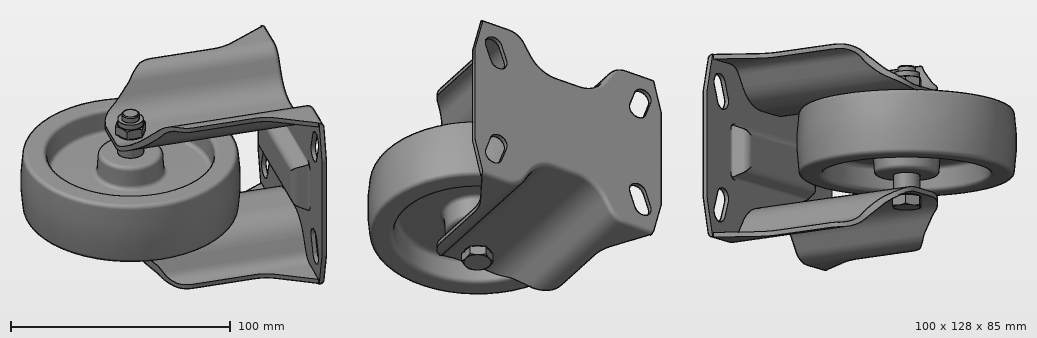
import cadquery as cq
import math


sheet = 2.2
plate_width = 100.0
plate_height = 85.0
plate_side_height = 50.2
plate_end_width = 91.1
back_edge_radius = 2.0

leg_dip = 17.7
leg_slope = math.radians(58)
leg_flat_half = 6.1
trough_radius = 15.6
shoulder_radius = 10.0

leg_half_width = 32.4
leg_length = 87.2
flare_angle = math.radians(30)
flare_corner = 23.8
flare_radius = 20.0
tip_corner = 62.2
tip_bend_half = 23.2
tip_first_slope = math.radians(45)
tip_second_slope = math.radians(60)
tip_radius = 10.0

slot_width = 9
slot_outer = (40.0, 30.0)
slot_inner = (37.4, 22.8)

rib_length = 62.2
rib_height = 26.1
rib_crest = 9.5
rib_draft = math.radians(22)
rib_crest_radius = 3.7
rib_foot_radius = 1.2
rib_corner_radius = 3.2

wheel_diameter = 100.0
wheel_width = 30.0
crown_radius = 92.2
crown_slope = math.radians(8.2)
wheel_fillet = 2.0
recess_face_radius = 38.4
recess_web_radius = 37.4
hub_face_radius = 14.6
hub_web_radius = 15.4
web_half_at_rim = 3.5
web_half_at_hub = 4.0

total_length = 128
spacer_diameter = 12.0
bolt_diameter = 8.0
bolt_end = 35.3
bolt_chamfer = 0.5
collar_diameter = 11.6
collar_end = 32.4
hex_across_flats = 12.4
hex_end = 30.0
hex_chamfer = 0.5
washer_face = 0.4

wheel_radius = wheel_diameter / 2
axle_y = wheel_radius - total_length
leg_outer_z = plate_height / 2 - leg_dip
leg_inner_z = leg_outer_z - sheet


def rounded_outline(plane, corners):
    """Closed outline through corners (u, v, radius), each rounded by a tangent arc of its radius."""
    outline = None
    for index, (u, v, radius) in enumerate(corners):
        here = cq.Vector(u, v)
        back = (cq.Vector(*corners[index - 1][:2]) - here).normalized()
        ahead = (cq.Vector(*corners[(index + 1) % len(corners)][:2]) - here).normalized()
        half_angle = back.getAngle(ahead) / 2
        setback = radius / math.tan(half_angle)
        start = (here + back * setback).toTuple()[:2]
        outline = outline.lineTo(*start) if outline else plane.moveTo(*start)
        if radius:
            bisector = (back + ahead).normalized()
            middle = here + bisector * (radius / math.sin(half_angle) - radius)
            end = here + ahead * setback
            outline = outline.threePointArc(middle.toTuple()[:2], end.toTuple()[:2])
    return outline.close()


def mirrored(corners):
    """Corners of one half, followed by their mirror images in the v axis."""
    return corners + [(-u, v, radius) for u, v, radius in reversed(corners)]


def trough_block(inset):
    """Block with a trough along Y in its top and bottom, lying `inset` inside the bracket's outer faces."""
    inner_radius = trough_radius + inset
    bottom_x = leg_flat_half + inner_radius * math.tan(leg_slope / 2)
    rim_x = bottom_x + leg_dip / math.tan(leg_slope)
    bottom_z = leg_outer_z - inset
    rim_z = plate_height / 2 - inset
    upper = [
        (bottom_x, bottom_z, inner_radius),
        (rim_x, rim_z, shoulder_radius - inset),
        (plate_width, rim_z, 0),
    ]
    lower = [(x, -z, radius) for x, z, radius in reversed(upper)]
    plane = cq.Workplane("XZ", origin=(0, -inset, 0))
    return rounded_outline(plane, mirrored(upper + lower)).extrude(leg_length)


def bracket_plan():
    """Outline of plate and legs seen along Z, extruded through the full height."""
    flare_half = leg_half_width + (flare_corner - sheet) * math.tan(flare_angle)
    first_drop = (leg_half_width - tip_bend_half) * math.tan(tip_first_slope)
    tip_bend = tip_corner + first_drop
    tip_half = tip_bend_half - (leg_length - tip_bend) / math.tan(tip_second_slope)
    corners = [
        (plate_width / 2, 0, 0),
        (plate_width / 2, -sheet, 0),
        (flare_half, -sheet, 0),
        (leg_half_width, -flare_corner, flare_radius),
        (leg_half_width, -tip_corner, tip_radius),
        (tip_bend_half, -tip_bend, tip_radius),
        (tip_half, -leg_length, tip_radius),
    ]
    plane = cq.Workplane("XY", origin=(0, 0, -plate_height / 2))
    return rounded_outline(plane, mirrored(corners)).extrude(plate_height)


def plate_front():
    """Outline of the plate with its tapered ends, extruded through the full length."""
    corners = [
        (plate_end_width / 2, plate_height / 2, 0),
        (plate_width / 2, plate_side_height / 2, 0),
        (plate_width / 2, -plate_side_height / 2, 0),
        (plate_end_width / 2, -plate_height / 2, 0),
    ]
    return rounded_outline(cq.Workplane("XZ"), mirrored(corners)).extrude(leg_length)


def mounting_slots():
    run_x = slot_outer[0] - slot_inner[0]
    run_z = slot_outer[1] - slot_inner[1]
    length = math.hypot(run_x, run_z) + slot_width
    angle = math.degrees(math.atan2(run_z, run_x))
    middle_x = (slot_outer[0] + slot_inner[0]) / 2
    middle_z = (slot_outer[1] + slot_inner[1]) / 2
    slots = cq.Workplane("XZ")
    for side_x in (1, -1):
        for side_z in (1, -1):
            plane = cq.Workplane("XZ").center(side_x * middle_x, side_z * middle_z)
            slots = slots.add(plane.slot2D(length, slot_width, side_x * side_z * angle).extrude(sheet))
    return slots.combine()


def rib_outline(plane, foot_width):
    """Section of rib and plate with tapered flanks, a rounded crest and a rounded foot; v runs along Y."""
    half_foot = foot_width / 2
    half_base = half_foot - rib_foot_radius * math.tan(math.pi / 4 - rib_draft / 2)
    half_crest = half_base - (rib_crest - sheet) * math.tan(rib_draft)
    corners = [
        (foot_width, 0, 0),
        (foot_width, -sheet, 0),
        (half_base, -sheet, rib_foot_radius),
        (half_crest, -rib_crest, rib_crest_radius),
    ]
    return rounded_outline(plane, mirrored(corners))


def plate_rib():
    """Rib with its share of the plate, cut to a footprint with rounded corners."""
    lengthwise = rib_outline(cq.Workplane("XY"), rib_length).extrude(rib_height, both=True)
    upright = cq.Plane(origin=(0, 0, 0), xDir=(0, 0, 1), normal=(-1, 0, 0))
    crosswise = rib_outline(cq.Workplane(upright), rib_height).extrude(rib_length, both=True)
    half_length = rib_length / 2
    half_height = rib_height / 2
    foot = [(half_length, half_height, rib_corner_radius), (half_length, -half_height, rib_corner_radius)]
    footprint = rounded_outline(cq.Workplane("XZ"), mirrored(foot)).extrude(rib_crest)
    return lengthwise.intersect(crosswise).intersect(footprint)


def bracket():
    outside = trough_block(0).faces(">Y").edges().fillet(back_edge_radius)
    fork = outside.cut(trough_block(sheet)).intersect(bracket_plan()).intersect(plate_front())
    return fork.cut(mounting_slots()).union(plate_rib())


def wheel():
    """Solid wheel with a crowned tread, a thin web and a hub, turned about the axle."""
    half_width = wheel_width / 2
    crown_apex = wheel_radius + crown_radius * (1 / math.cos(crown_slope) - 1)
    tread_edge = crown_apex - half_width * math.tan(crown_slope)
    upper = [
        (tread_edge, half_width, wheel_fillet),
        (recess_face_radius, half_width, wheel_fillet),
        (recess_web_radius, web_half_at_rim, wheel_fillet),
        (hub_web_radius, web_half_at_hub, wheel_fillet),
        (hub_face_radius, half_width, wheel_fillet),
        (0, half_width, 0),
    ]
    lower = [(r, -z, radius) for r, z, radius in reversed(upper)]
    crown = [(crown_apex, 0, crown_radius)]
    plane = cq.Workplane("XZ", origin=(0, axle_y, 0))
    return rounded_outline(plane, crown + upper + lower).revolve(360, (0, 0), (0, 1))


def axle_plane(height):
    return cq.Workplane("XY", origin=(0, axle_y, height))


def hexagon():
    """Hexagon standing on the leg, with a thin washer face below it and its outer corners chamfered."""
    across_corners = hex_across_flats / math.cos(math.pi / 6)
    height = hex_end - leg_outer_z
    prism = axle_plane(leg_outer_z).polygon(6, across_corners).extrude(height)
    prism = prism.rotate((0, axle_y, 0), (0, axle_y, 1), 30)
    turned = axle_plane(leg_outer_z).circle(across_corners / 2).extrude(height)
    turned = turned.faces(">Z").chamfer(hex_chamfer, (across_corners - hex_across_flats) / 2)
    washer = axle_plane(leg_outer_z).circle(hex_across_flats / 2).extrude(washer_face)
    above_washer = axle_plane(leg_outer_z + washer_face).circle(across_corners).extrude(height)
    return prism.intersect(turned).intersect(above_washer).union(washer)


def axle():
    """Spacer between the legs, the bolt through them, its head below and the nut above."""
    spacer = axle_plane(-leg_inner_z).circle(spacer_diameter / 2).extrude(2 * leg_inner_z)
    bolt = axle_plane(-leg_outer_z).circle(bolt_diameter / 2).extrude(leg_outer_z + bolt_end)
    bolt = bolt.faces(">Z").chamfer(bolt_chamfer)
    collar = axle_plane(leg_outer_z).circle(collar_diameter / 2).extrude(collar_end - leg_outer_z)
    head = hexagon().mirror("XY")
    return spacer.union(bolt).union(collar).union(hexagon()).union(head)


result = bracket().union(wheel()).union(axle())